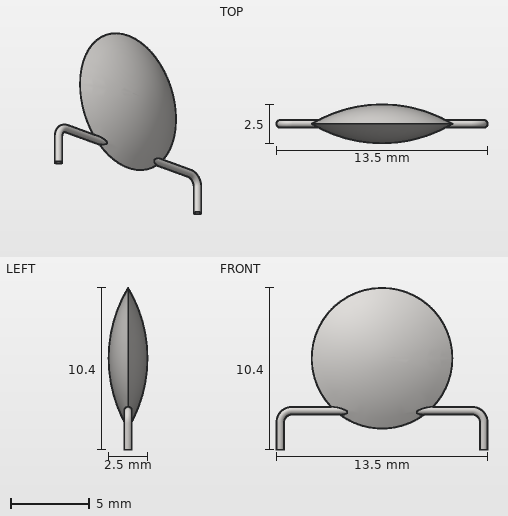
import cadquery as cq
import math

disc_diameter = 9.0
disc_thickness = 2.5

wire_diameter = 0.5
leg_spacing = 13.0
bend_radius = 0.75
leg_end_z = 0.0
wire_run_z = 2.5
total_height = 10.35

disc_radius = disc_diameter / 2
disc_center_z = leg_end_z + total_height - disc_radius
half_spacing = leg_spacing / 2
leg_length = wire_run_z - leg_end_z - bend_radius
run_length = leg_spacing - 2 * bend_radius


def make_leg(side):
    """Straight vertical leg; side is -1 for left and +1 for right."""
    return (
        cq.Workplane("XY", origin=(side * half_spacing, 0, leg_end_z))
        .circle(wire_diameter / 2)
        .extrude(leg_length)
    )


def make_bend(side):
    """Quarter-turn elbow from the top of a leg into the horizontal run."""
    elbow_angle = 90
    return (
        cq.Workplane("XY", origin=(side * half_spacing, 0, leg_end_z + leg_length))
        .circle(wire_diameter / 2)
        .revolve(elbow_angle, (-side * bend_radius, 0), (-side * bend_radius, -side))
    )


def make_wire():
    """Horizontal run with a bend and a leg at each end."""
    wire = (
        cq.Workplane("YZ", origin=(-run_length / 2, 0, wire_run_z))
        .circle(wire_diameter / 2)
        .extrude(run_length)
    )
    for side in (-1, 1):
        wire = wire.union(make_bend(side)).union(make_leg(side))
    return wire


def make_disc(wire):
    """Lens of two equal spherical caps, with a matching hole for the wire."""
    half_thickness = disc_thickness / 2
    sphere_radius = (disc_radius**2 + half_thickness**2) / disc_thickness
    mid_radius = disc_radius / 2
    mid_depth = math.sqrt(sphere_radius**2 - mid_radius**2) - (sphere_radius - half_thickness)
    lens = (
        cq.Workplane("XY", origin=(0, 0, disc_center_z))
        .moveTo(0, -half_thickness)
        .threePointArc((mid_radius, -mid_depth), (disc_radius, 0))
        .threePointArc((mid_radius, mid_depth), (0, half_thickness))
        .close()
        .revolve(360, (0, 0), (0, 1))
    )
    return lens.cut(wire)


wire = make_wire()
disc = make_disc(wire)

result = cq.Compound.makeCompound([disc.solids().val(), wire.solids().val()])